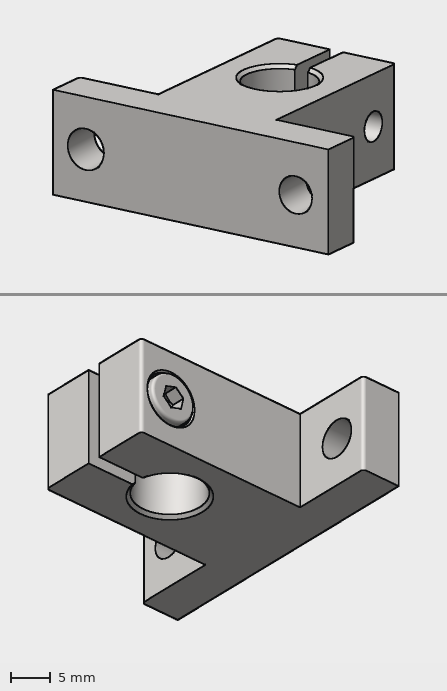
import cadquery as cq
import math

thickness = 14.0
mid_height = thickness / 2

flange_length = 42.0
flange_depth = 6.0
mounting_hole_reach = 16.0
clearance_hole_diameter = 5.5
tapped_hole_diameter = 5.0

tower_width = 18.0
tower_end = 32.8
corner_radius = 0.5

bore_y = 20.0
bore_diameter = 10.0
bore_chamfer = 0.5
slot_width = 2.0

screw_y = tower_end - 5.0
shank_diameter = 4.0
shank_length = 12.0
head_diameter = 7.0
head_height = 4.0
head_fillet = 0.4
head_protrusion = 0.5
socket_across_flats = 3.0
socket_depth = 2.0
socket_turn = 17.0
socket_cone_angle = 120.0

recess_diameter = 7.5
recess_chamfer = 0.25

tower_side_x = -tower_width / 2
head_face_x = tower_side_x - head_protrusion
head_seat_x = head_face_x + head_height


def screw_axis_plane(x):
    """Plane centred on the screw axis at x, with its normal along +X."""
    return cq.Workplane("YZ", origin=(x, screw_y, mid_height))


def make_body_blank():
    """T-shaped block with its four +Y corners rounded."""
    flange = cq.Workplane("XY").box(
        flange_length, flange_depth, thickness, centered=(True, False, False)
    )
    flange = flange.edges("|Z and >Y").fillet(corner_radius)
    tower = cq.Workplane("XY").box(
        tower_width, tower_end, thickness, centered=(True, False, False)
    )
    tower = tower.edges("|Z and >Y").fillet(corner_radius)
    return flange.union(tower)


def make_mounting_hole(x, diameter):
    """Cutter for a hole through the flange along Y."""
    hole_plane = cq.Workplane("XZ", origin=(x, 0, mid_height))
    return hole_plane.circle(diameter / 2).extrude(-flange_depth)


def make_shaft_bore():
    """Cutter for the through bore, chamfered at both ends."""
    radius = bore_diameter / 2
    mouth_radius = radius + bore_chamfer
    profile = [
        (0, 0),
        (mouth_radius, 0),
        (radius, bore_chamfer),
        (radius, thickness - bore_chamfer),
        (mouth_radius, thickness),
        (0, thickness),
    ]
    bore = cq.Workplane("XZ").polyline(profile).close().revolve(360, (0, 0), (0, 1))
    return bore.translate((0, bore_y, 0))


def make_clamp_slot():
    """Cutter for the slot from the bore to the open end of the tower."""
    slot = cq.Workplane("XY").box(
        slot_width, tower_end - bore_y, thickness, centered=(True, False, False)
    )
    return slot.translate((0, bore_y, 0))


def make_screw_hole():
    """Cutter for the screw hole across the tower and its chamfered head recess."""
    hole = screw_axis_plane(tower_side_x).circle(shank_diameter / 2).extrude(tower_width)
    recess = screw_axis_plane(tower_side_x).circle(recess_diameter / 2)
    recess = recess.extrude(head_seat_x - tower_side_x)
    mouth_cone = cq.Solid.makeCone(
        recess_diameter / 2 + recess_chamfer,
        recess_diameter / 2,
        recess_chamfer,
        pnt=cq.Vector(tower_side_x, screw_y, mid_height),
        dir=cq.Vector(1, 0, 0),
    )
    return hole.union(recess).union(cq.Workplane(mouth_cone))


def make_support():
    """Complete shaft support block."""
    body = make_body_blank()
    body = body.cut(make_mounting_hole(-mounting_hole_reach, clearance_hole_diameter))
    body = body.cut(make_mounting_hole(mounting_hole_reach, tapped_hole_diameter))
    body = body.cut(make_shaft_bore())
    body = body.cut(make_clamp_slot())
    return body.cut(make_screw_hole())


def make_socket():
    """Cutter for the hexagonal socket, ending in a conical drill point."""
    corner_radius_of_hex = socket_across_flats / 2 / math.cos(math.radians(30))
    point_depth = corner_radius_of_hex / math.tan(math.radians(socket_cone_angle / 2))
    full_depth = socket_depth + point_depth
    hexagon = screw_axis_plane(head_face_x).polygon(6, 2 * corner_radius_of_hex).extrude(full_depth)
    hexagon = hexagon.rotate(
        (0, screw_y, mid_height), (1, screw_y, mid_height), -socket_turn
    )
    drill_profile = [
        (0, 0),
        (corner_radius_of_hex, 0),
        (corner_radius_of_hex, socket_depth),
        (0, full_depth),
    ]
    drill = cq.Workplane("XZ").polyline(drill_profile).close().revolve(360, (0, 0), (0, 1))
    drill = drill.rotate((0, 0, 0), (0, 1, 0), 90)
    drill = drill.translate((head_face_x, screw_y, mid_height))
    return hexagon.intersect(drill)


def make_clamp_screw():
    """Socket head cap screw that closes the slot."""
    head = screw_axis_plane(head_face_x).circle(head_diameter / 2).extrude(head_height)
    head = head.faces("<X").edges().fillet(head_fillet)
    shank = screw_axis_plane(head_seat_x).circle(shank_diameter / 2).extrude(shank_length)
    return head.union(shank).cut(make_socket())


support = make_support()
clamp_screw = make_clamp_screw()

result = cq.Compound.makeCompound([support.val(), clamp_screw.val()])